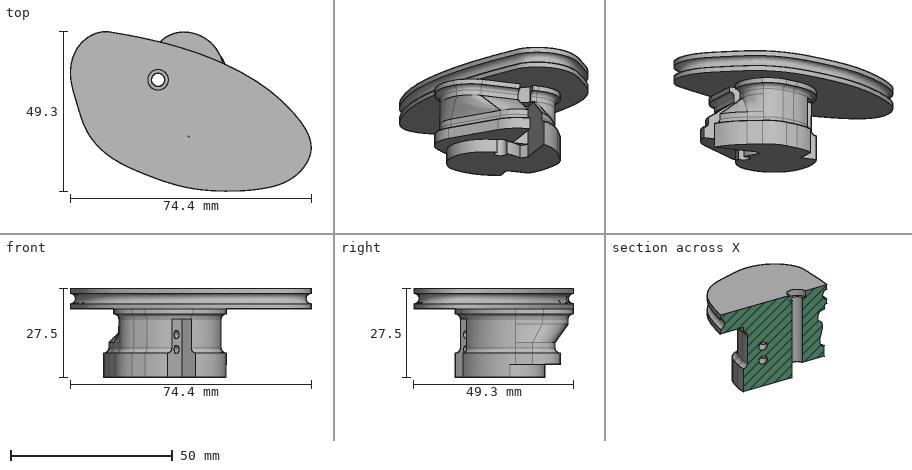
import cadquery as cq
import math

RIM = 1.59
PLATE_BOTTOM = -4 * RIM
FLANGE_BOTTOM = PLATE_BOTTOM - RIM
RAMP_TOP = -11.05
RAMP_BOTTOM = -16.75
LIP_TOP = -19.95
LIP_STEP = -23.45
BODY_BOTTOM = -27.52

NECK_INSET = 1.59
NECK_FILLET = 1.5
REACH = 40.0
HEIGHT_MARGIN = 0.1

PLATE_POINTS = [
    (-15.0, 14.83), (-6.0, 13.2), (10.5, 8.85), (29.5, 0.1), (41.8, -10.2),
    (47.3, -21.7), (41.6, -30.3), (33.0, -33.5), (20.6, -34.42), (9.4, -33.4),
    (-5.3, -28.7), (-15.2, -23.5), (-21.7, -16.4), (-25.2, -7.1), (-27.1, 2.6), (-23.6, 11.5),
]

FRONT = [(10.8, -19.7, 295), (21.1, -3.1, 360)]
FRONT_LEFT = [(-13.26, -13.35, 559), (-7.98, -18.93, 607.6), (-4.08, -20.53, 607.6)]
UPPER_OUTLINE = FRONT + [
    (19.84, 5.64, 375), (7.91, 14.8, 450), (-0.09, 10.94, 501.5),
    (-10.4, -2.62, 501.5), (-11.3, -3.81, 501.5),
] + FRONT_LEFT
LOWER_OUTLINE = FRONT + [
    (21.1, 2.18, 360), (12.39, 10.78, 450), (-5.51, 10.78, 450),
    (-16.5, 2.33, 525), (-15.23, -8.83, 559),
] + FRONT_LEFT

FRAME_ANGLE = -38.5
NOTCH_S = 15.77
NOTCH_Q = -7.85
SLOT_WALL = [(-4.2, -1.66), (-8.6, -3.45)]
SLOT_Q_BACK = -3.9
SLOT_Q_FRONT = -8.3
LOWER_SLOT_Q_FRONT = -9.0
SLOT_FLOOR = -11.25

COLUMN_CENTER = (9.1, -6.0)
COLUMN_RADIUS = 12.0

AXLE_DIAMETER = 4.0
BEARING_DIAMETER = 6.35
BEARING_DEPTH = 2.0

PIN_DIAMETER = 2.46
PIN_Q = -10.65
PIN_HEIGHTS = (-14.3, -18.9)
PIN_DEPTH = 12.0


def framed(s, q):
    """Point at s along the notch direction and q across it."""
    a = math.radians(FRAME_ANGLE)
    return (s * math.cos(a) - q * math.sin(a), s * math.sin(a) + q * math.cos(a))


def outline(vertices, z, inset=0.0):
    """Closed outline of lines and arcs, moved inward along its normals."""
    moved = []
    for x, y, angle in vertices:
        a = math.radians(angle)
        moved.append((x - inset * math.cos(a), y - inset * math.sin(a), a))
    wire = cq.Workplane("XY", origin=(0, 0, z)).moveTo(*moved[0][:2])
    closing = (moved[0][0], moved[0][1], moved[0][2] + 2 * math.pi)
    for start, end in zip(moved, moved[1:] + [closing]):
        turn = end[2] - start[2]
        if turn == 0:
            wire = wire.lineTo(*end[:2])
            continue
        middle_normal = (start[2] + end[2]) / 2
        rise = math.dist(start[:2], end[:2]) / 2 * math.tan(turn / 4)
        middle = (
            (start[0] + end[0]) / 2 + rise * math.cos(middle_normal),
            (start[1] + end[1]) / 2 + rise * math.sin(middle_normal),
        )
        wire = wire.threePointArc(middle, end[:2])
    return wire.close()


def prism(points, top, bottom):
    """Straight-sided block over a polygon, between two heights."""
    return cq.Workplane("XY", origin=(0, 0, bottom)).polyline(points).close().extrude(top - bottom)


def make_plate():
    """Plate with a half-round groove along its edge."""
    edge = cq.Workplane("XY").spline(PLATE_POINTS, periodic=True)
    plate = edge.close().extrude(PLATE_BOTTOM)
    path = cq.Workplane("XY", origin=(0, 0, PLATE_BOTTOM / 2)).spline(PLATE_POINTS, periodic=True)
    start = path.val().startPoint()
    tangent = path.val().tangentAt(0)
    profile = cq.Plane(origin=start.toTuple(), normal=tangent.toTuple())
    groove = cq.Workplane(profile).circle(RIM).sweep(path)
    return plate.cut(groove)


def make_body():
    """Flange, upper neck, ramp, lower neck and lip."""
    flange = outline(UPPER_OUTLINE, FLANGE_BOTTOM).extrude(RIM)
    upper = flange.union(outline(UPPER_OUTLINE, RAMP_TOP, NECK_INSET).extrude(FLANGE_BOTTOM - RAMP_TOP))
    upper = fillet_at(upper, FLANGE_BOTTOM)
    lip = outline(LOWER_OUTLINE, BODY_BOTTOM).extrude(LIP_TOP - BODY_BOTTOM)
    lower = lip.union(outline(LOWER_OUTLINE, LIP_TOP, NECK_INSET).extrude(RAMP_BOTTOM - LIP_TOP))
    lower = fillet_at(lower, LIP_TOP)
    ramp = cq.Workplane(obj=cq.Solid.makeLoft(
        [
            outline(LOWER_OUTLINE, RAMP_BOTTOM, NECK_INSET).val(),
            outline(UPPER_OUTLINE, RAMP_TOP, NECK_INSET).val(),
        ],
        True,
    ))
    return upper.union(ramp).union(lower)


def fillet_at(solid, z):
    """Fillet the inside corner between a neck and its rim at height z."""
    low = (-REACH, -REACH, z - HEIGHT_MARGIN)
    high = (REACH, REACH, z + HEIGHT_MARGIN)
    rim_face = solid.faces(cq.selectors.BoxSelector(low, high)).val()
    return solid.newObject(rim_face.innerWires()[0].Edges()).fillet(NECK_FILLET)


def make_front_notch():
    """Right-angled notch below the flange."""
    corner = [
        framed(NOTCH_S, NOTCH_Q),
        framed(NOTCH_S, NOTCH_Q - REACH),
        framed(NOTCH_S + REACH, NOTCH_Q - REACH),
        framed(NOTCH_S + REACH, NOTCH_Q),
    ]
    return prism(corner, FLANGE_BOTTOM - NECK_INSET, BODY_BOTTOM)


def make_pin_holes():
    """Blind holes, square to the left wall of the front notch."""
    center = framed(NOTCH_S, PIN_Q)
    along = framed(-1, 0)
    holes = cq.Workplane()
    for z in PIN_HEIGHTS:
        start = cq.Vector(*center, z)
        holes.add(cq.Solid.makeCylinder(PIN_DIAMETER / 2, PIN_DEPTH, start, cq.Vector(*along, 0)))
    return holes.combine()


def make_side_slot():
    """Upper part of the slot in the left side, ending at a slanted wall."""
    points = [*SLOT_WALL, framed(-REACH, SLOT_Q_FRONT), framed(-REACH, SLOT_Q_BACK)]
    return prism(points, PLATE_BOTTOM, SLOT_FLOOR)


def make_lower_recess():
    """Lower part of the slot and the step under the back of the lip, both outside the column."""
    slot = prism(
        [
            framed(-REACH, LOWER_SLOT_Q_FRONT),
            framed(0, LOWER_SLOT_Q_FRONT),
            framed(0, SLOT_Q_BACK),
            framed(-REACH, SLOT_Q_BACK),
        ],
        SLOT_FLOOR, BODY_BOTTOM,
    )
    step = prism(
        [
            framed(-REACH, LOWER_SLOT_Q_FRONT),
            framed(0, LOWER_SLOT_Q_FRONT),
            COLUMN_CENTER,
            (REACH, COLUMN_CENTER[1]),
            (REACH, REACH),
            (-REACH, REACH),
        ],
        LIP_STEP, BODY_BOTTOM,
    )
    column = cq.Workplane("XY", origin=(*COLUMN_CENTER, BODY_BOTTOM)).circle(COLUMN_RADIUS)
    return slot.union(step).cut(column.extrude(SLOT_FLOOR - BODY_BOTTOM))


def make_axle_hole():
    """Through bore with a bearing seat in the top of the plate."""
    bore = cq.Workplane("XY").circle(AXLE_DIAMETER / 2).extrude(BODY_BOTTOM)
    seat = cq.Workplane("XY").circle(BEARING_DIAMETER / 2).extrude(-BEARING_DEPTH)
    return bore.union(seat)


result = make_plate().union(make_body())
for cutter in (
    make_front_notch(), make_side_slot(), make_lower_recess(), make_axle_hole(), make_pin_holes(),
):
    result = result.cut(cutter)